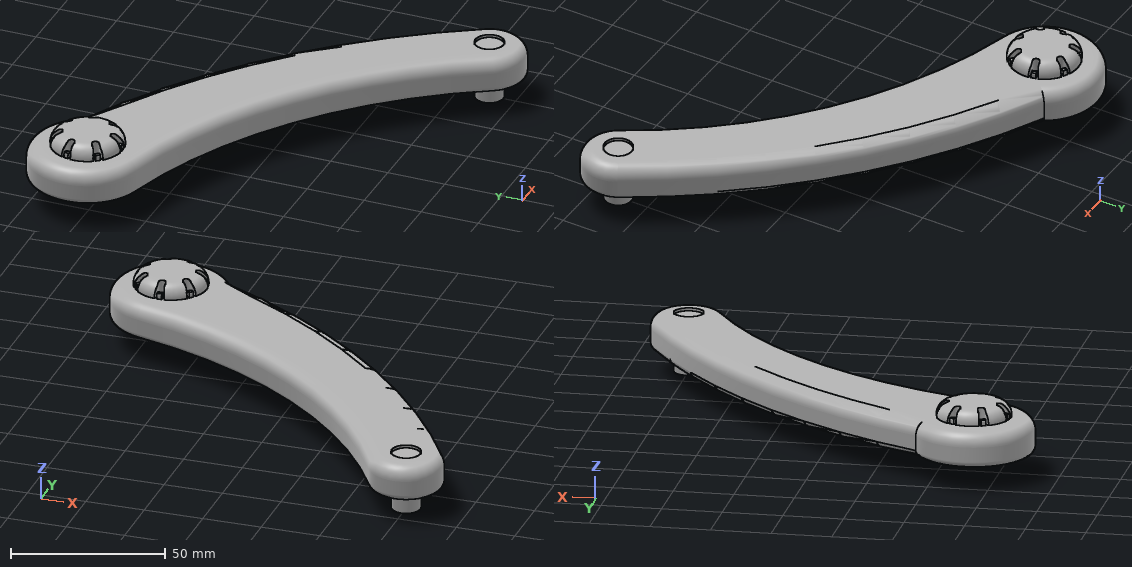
import cadquery as cq
import math

hub_radius = 20.0
tip_radius = 12.5
tip_x = 144.6 - hub_radius - tip_radius
tip_y = -(126.8 - hub_radius - tip_radius)
arm_height = 12.0
top_round = 4.9
bottom_round = 2.0

outer_radius = 236.8
inner_radius = 168.7
hub_outer_angle = 30

pin_radius = 4.9
pin_length = 8.0
recess_depth = 1.0

knob_radius = 12.3
knob_height = 5.0
knob_round = 4.9
slot_count = 7
slot_width = 2.5
mouth_width = 3.5
slot_inner_reach = 8.1
post_width = 1.6
post_height = 1.9
post_inner_reach = 10.7
post_outer_reach = 12.1


def disc(x, y, radius, bottom, height):
    return cq.Workplane("XY", origin=(x, y, bottom)).circle(radius).extrude(height)


def circle_crossing(center_a, radius_a, center_b, radius_b):
    """Crossing point of two circles, on the right of the line from center a to center b."""
    dx = center_b[0] - center_a[0]
    dy = center_b[1] - center_a[1]
    distance = math.hypot(dx, dy)
    along = (distance**2 + radius_a**2 - radius_b**2) / (2 * distance)
    across = math.sqrt(radius_a**2 - along**2)
    return (
        center_a[0] + (along * dx + across * dy) / distance,
        center_a[1] + (along * dy - across * dx) / distance,
    )


def rim_point(center, radius, dx, dy):
    """Point on a circle in the given direction from its center."""
    length = math.hypot(dx, dy)
    return (center[0] + radius * dx / length, center[1] + radius * dy / length)


def rim_point_toward(center, radius, target):
    return rim_point(center, radius, target[0] - center[0], target[1] - center[1])


def make_arm():
    hub_center = (0, 0)
    tip_center = (tip_x, tip_y)
    joint_turn = math.radians(hub_outer_angle)
    outer_start = rim_point(hub_center, hub_radius, math.cos(joint_turn), math.sin(joint_turn))
    outer_center = circle_crossing(outer_start, outer_radius, tip_center, outer_radius - tip_radius)
    inner_center = circle_crossing(
        hub_center, inner_radius + hub_radius, tip_center, inner_radius + tip_radius
    )
    outer_end = rim_point_toward(outer_center, outer_radius, tip_center)
    inner_start = rim_point_toward(tip_center, tip_radius, inner_center)
    inner_end = rim_point_toward(hub_center, hub_radius, inner_center)
    tip_far_point = rim_point(tip_center, tip_radius, tip_x, tip_y)
    hub_far_point = rim_point(hub_center, hub_radius, -tip_x, -tip_y)
    outline = (
        cq.Workplane("XY")
        .moveTo(*outer_start)
        .radiusArc(outer_end, outer_radius)
        .threePointArc(tip_far_point, inner_start)
        .radiusArc(inner_end, -inner_radius)
        .threePointArc(hub_far_point, outer_start)
        .close()
    )
    arm = outline.extrude(arm_height)
    return arm.faces(">Z").edges().fillet(top_round).faces("<Z").edges().fillet(bottom_round)


def make_knob():
    knob = disc(0, 0, knob_radius, arm_height, knob_height)
    knob = knob.faces(">Z").edges().fillet(knob_round)
    slot_length = 2 * (knob_radius - slot_inner_reach)
    slot = (
        cq.Workplane("XY", origin=(slot_inner_reach + slot_length / 2, 0, arm_height))
        .slot2D(slot_length, slot_width)
        .extrude(knob_height)
    )
    post_length = post_outer_reach - post_inner_reach
    post = cq.Workplane("XY", origin=(post_inner_reach + post_length / 2, 0, arm_height)).box(
        post_length, post_width, post_height, centered=(True, True, False)
    )
    mouth = (
        cq.Workplane("XY", origin=(0, 0, arm_height))
        .moveTo(post_inner_reach, -slot_width / 2)
        .lineTo(knob_radius, -mouth_width / 2)
        .lineTo(knob_radius, mouth_width / 2)
        .lineTo(post_inner_reach, slot_width / 2)
        .close()
        .extrude(knob_height)
    )
    cutter = slot.union(mouth).cut(post)
    for index in range(slot_count):
        angle = -90 + index * 360 / slot_count
        knob = knob.cut(cutter.rotate((0, 0, 0), (0, 0, 1), angle))
    return knob


pin = disc(tip_x, tip_y, pin_radius, -pin_length, pin_length)
recess = disc(tip_x, tip_y, pin_radius, arm_height - recess_depth, recess_depth)
result = make_arm().union(pin).cut(recess).union(make_knob())